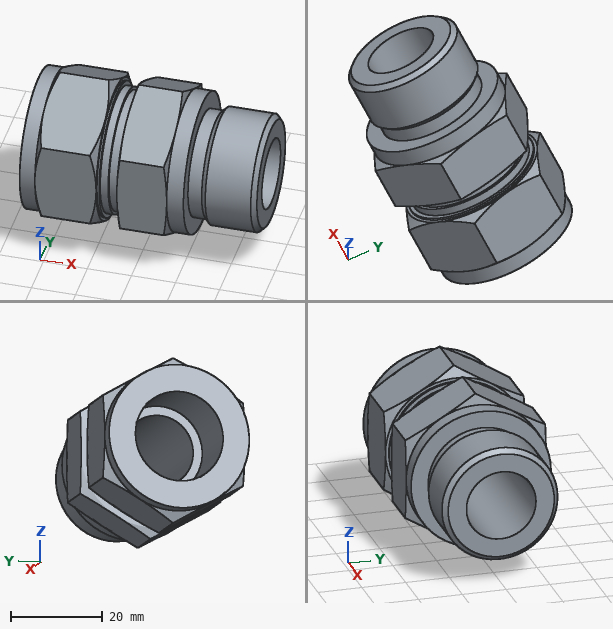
import cadquery as cq
import math

length = 52.8
across_flats = 32.0
hex_corner_radius = across_flats / math.sqrt(3)

nut_hex_start = 3.5
nut_hex_end = 17.35
washer_face_end = 17.85
step_end = 19.65
body_hex_start = 22.05
body_hex_end = 33.35
shoulder_face = 37.15
thread_start = 40.3

washer_face_diameter = 30.5
step_diameter = 28.5
neck_diameter = 27.1
thread_diameter = 26.45
thread_chamfer = 1.1
undercut_diameter = thread_diameter - 2 * thread_chamfer

bore_diameter = 15.9
socket_diameter = 20.0
socket_depth = 16.5

nut_chamfer_angle = 30.0
body_chamfer_angle = 15.0


def cylinder(start, end, diameter):
    """Solid cylinder along X between two positions."""
    return cq.Workplane("YZ", origin=(start, 0, 0)).circle(diameter / 2).extrude(end - start)


def chamfered_hex(start, end, chamfer_angle):
    """Hexagon along X with corners up and down, turned conically at both ends."""
    flat_radius = across_flats / 2
    corner_height = hex_corner_radius - flat_radius
    chamfer_length = corner_height * math.tan(math.radians(chamfer_angle))
    prism = (
        cq.Workplane("YZ", origin=(start, 0, 0))
        .polygon(6, 2 * hex_corner_radius)
        .extrude(end - start)
        .rotate((0, 0, 0), (1, 0, 0), 90)
    )
    turned_envelope = (
        cq.Workplane("XY")
        .moveTo(start, 0)
        .lineTo(start, flat_radius)
        .lineTo(start + chamfer_length, hex_corner_radius)
        .lineTo(end - chamfer_length, hex_corner_radius)
        .lineTo(end, flat_radius)
        .lineTo(end, 0)
        .close()
        .revolve(360, (0, 0, 0), (1, 0, 0))
    )
    return prism.intersect(turned_envelope)


nut = (
    cylinder(0, nut_hex_start, across_flats)
    .union(chamfered_hex(nut_hex_start, nut_hex_end, nut_chamfer_angle))
    .union(cylinder(nut_hex_end, washer_face_end, washer_face_diameter))
)

body = (
    cylinder(washer_face_end, step_end, step_diameter)
    .union(cylinder(step_end, body_hex_start, neck_diameter))
    .union(chamfered_hex(body_hex_start, body_hex_end, body_chamfer_angle))
    .union(cylinder(body_hex_end, shoulder_face, across_flats))
)

thread = cylinder(thread_start, length, thread_diameter).edges().chamfer(thread_chamfer)
stud = cylinder(shoulder_face, thread_start, undercut_diameter).union(thread)

passage = cylinder(0, length, bore_diameter).union(cylinder(0, socket_depth, socket_diameter))

result = nut.union(body).union(stud).cut(passage)